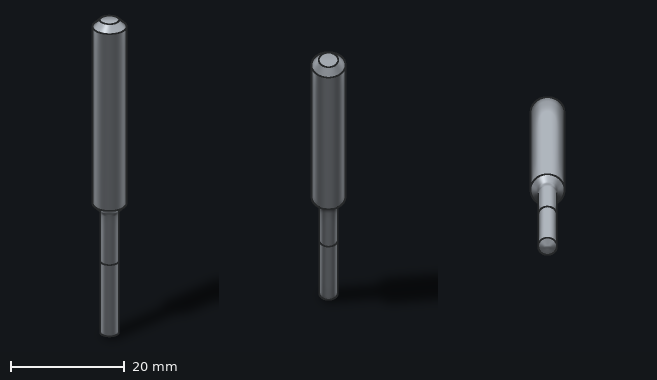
import cadquery as cq
import math

overall_length = 62.0
shank_diameter = 6.0
shank_length = 36.0
end_chamfer = 1.3
drill_diameter = 3.3
point_angle = 135.0
cutting_length = 14.7
taper_angle = 45.0
neck_fillet = 1.0

shank_radius = shank_diameter / 2
drill_radius = drill_diameter / 2
point_height = drill_radius / math.tan(math.radians(point_angle / 2))
shank_bottom = overall_length - shank_length

taper = math.radians(taper_angle)
fillet_center_radius = drill_radius + neck_fillet
taper_end_radius = fillet_center_radius - neck_fillet * math.cos(taper)
taper_end_height = shank_bottom - (shank_radius - taper_end_radius) / math.tan(taper)
fillet_center_height = taper_end_height - neck_fillet * math.sin(taper)
fillet_middle = (
    fillet_center_radius - neck_fillet * math.cos(taper / 2),
    fillet_center_height + neck_fillet * math.sin(taper / 2),
)


def make_shank():
    """Chamfered shank that tapers through a filleted cone into the neck."""
    return (
        cq.Workplane("XZ")
        .moveTo(0, cutting_length)
        .lineTo(drill_radius, cutting_length)
        .lineTo(drill_radius, fillet_center_height)
        .threePointArc(fillet_middle, (taper_end_radius, taper_end_height))
        .lineTo(shank_radius, shank_bottom)
        .lineTo(shank_radius, overall_length - end_chamfer)
        .lineTo(shank_radius - end_chamfer, overall_length)
        .lineTo(0, overall_length)
        .close()
        .revolve(360, (0, 0, 0), (0, 1, 0))
    )


def make_cutting_tip():
    """Plain cylinder with a conical drill point, butted against the neck."""
    return (
        cq.Workplane("XZ")
        .lineTo(drill_radius, point_height)
        .lineTo(drill_radius, cutting_length)
        .lineTo(0, cutting_length)
        .close()
        .revolve(360, (0, 0, 0), (0, 1, 0))
    )


shank = make_shank()
cutting_tip = make_cutting_tip()
result = cq.Compound.makeCompound([shank.val(), cutting_tip.val()])